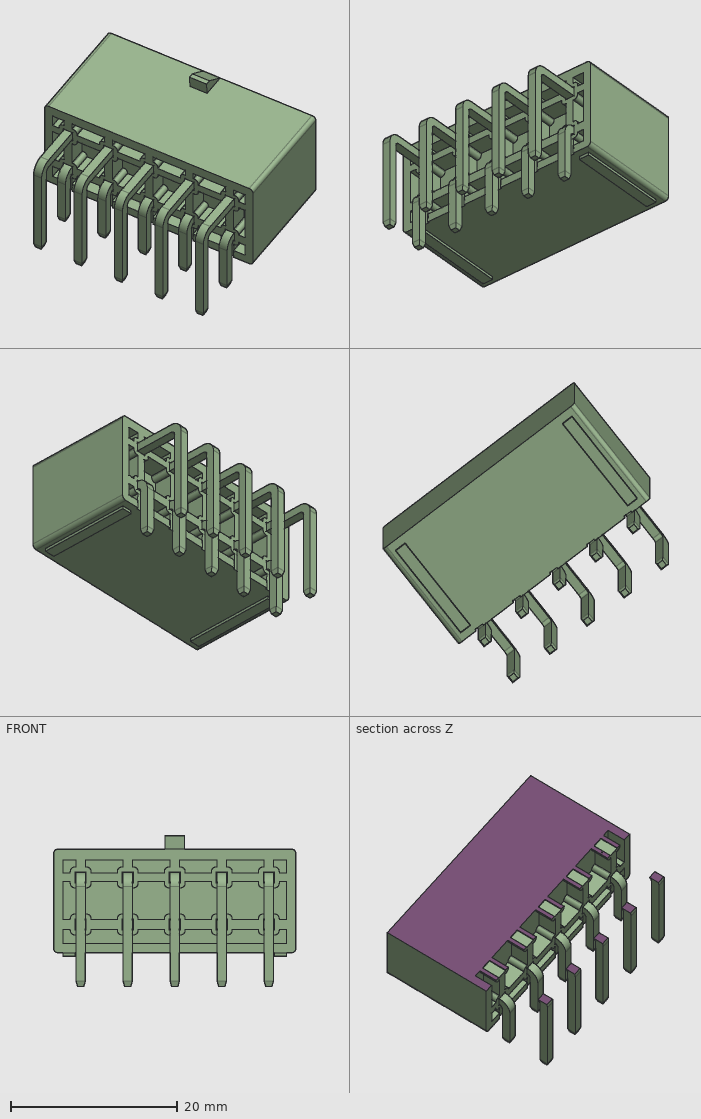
import cadquery as cq

total_height = 18.13
total_depth = 21.95

housing_width = 29.15
housing_depth = 14.8
housing_bottom = 4.05
housing_height = 12.48
housing_corner_radius = 0.55
housing_top = housing_bottom + housing_height

column_count = 5
pitch = 5.65
upper_row_height = housing_top - 3.4
lower_row_height = upper_row_height - pitch
column_positions = [(i - (column_count - 1) / 2) * pitch for i in range(column_count)]
row_heights = [upper_row_height, lower_row_height]

recess_depth = 2.42
recess_side_wall = 1.15
recess_top_wall = 1.35
recess_bottom_wall = 1.15
rib_thickness = 1.1
upper_rib_thickness = 1.02
lower_rib_thickness = 1.25
boss_size = 2.5
boss_corner_radius = 0.55
contact_hole_size = 1.35
relief_depth = 0.2

pin_size = 1.15
bend_outer_radius = 1.63
bend_inner_radius = bend_outer_radius - pin_size
upper_pin_reach = total_depth - housing_depth
lower_pin_reach = 1.55
tip_length = 0.65
tip_end_size = 0.75

ramp_width = 2.4
ramp_length = 3.25
ramp_base_length = 3.12
ramp_crest_length = 0.7
ramp_height = total_height - housing_top

rail_width = 1.45
rail_height = 0.4
rail_end_margin = 1.02


def block(x_min, x_max, y_min, y_max, z_min, z_max):
    """Box given by its limits along each axis."""
    corner = (x_min, y_min, z_min)
    return cq.Workplane("XY").box(x_max - x_min, y_max - y_min, z_max - z_min, centered=False).translate(corner)


def square_bar(size, x, z):
    """Square bar along Y, running from the front face to the floor of the recess."""
    half = size / 2
    return block(x - half, x + half, 0, recess_depth, z - half, z + half)


def make_recess():
    """Volume removed from the front: a shallow box less the ribs and bosses, plus the contact holes."""
    half_width = housing_width / 2 - recess_side_wall
    bottom = housing_bottom + recess_bottom_wall
    top = housing_top - recess_top_wall
    recess = block(-half_width, half_width, 0, recess_depth, bottom, top)
    for x in column_positions:
        recess = recess.cut(block(x - rib_thickness / 2, x + rib_thickness / 2, 0, recess_depth, bottom, top))
    for z, thickness in zip(row_heights, [upper_rib_thickness, lower_rib_thickness]):
        recess = recess.cut(
            block(-half_width, half_width, 0, recess_depth, z - thickness / 2, z + thickness / 2)
        )
    for x in column_positions:
        for z in row_heights:
            recess = recess.cut(square_bar(boss_size, x, z).edges("|Y").fillet(boss_corner_radius))
            recess = recess.union(square_bar(contact_hole_size, x, z))
    return recess


def make_pin_relief(x):
    """Slot below a lower boss, sloping from the front face at the boss to its full depth at the underside."""
    slope_top = lower_row_height - boss_size / 2
    return (
        cq.Workplane("YZ", origin=(x - rib_thickness / 2, 0, 0))
        .moveTo(0, slope_top)
        .lineTo(relief_depth, housing_bottom)
        .lineTo(0, housing_bottom)
        .close()
        .extrude(rib_thickness)
    )


def make_housing():
    """Rounded block, open to the front (-Y) with its front face at Y = 0."""
    half_width = housing_width / 2
    body = block(-half_width, half_width, 0, housing_depth, housing_bottom, housing_top)
    body = body.edges("|Y").fillet(housing_corner_radius).cut(make_recess())
    for x in column_positions:
        body = body.cut(make_pin_relief(x))
    return body


def make_locking_ramp():
    """Wedge rising from the rear edge to a crest that overhangs slightly at the front."""
    return (
        cq.Workplane("YZ", origin=(-ramp_width / 2, housing_depth, housing_top))
        .moveTo(0, 0)
        .lineTo(ramp_crest_length - ramp_length, ramp_height)
        .lineTo(-ramp_length, ramp_height)
        .lineTo(-ramp_base_length, 0)
        .close()
        .extrude(ramp_width)
    )


def make_rail(side):
    """Flat rail under the housing on one side (-1 or +1)."""
    outer = side * (housing_width / 2 - recess_side_wall)
    inner = outer - side * rail_width
    return block(
        min(outer, inner),
        max(outer, inner),
        rail_end_margin,
        housing_depth - rail_end_margin,
        housing_bottom - rail_height,
        housing_bottom,
    )


def make_pin(x, axis_height, reach):
    """Square pin from the recess floor, bent down to a tapered tip at Z = 0."""
    top = axis_height + pin_size / 2
    bottom = axis_height - pin_size / 2
    bend = (
        cq.Workplane("YZ", origin=(x - pin_size / 2, 0, 0))
        .moveTo(recess_depth, top)
        .lineTo(bend_outer_radius - reach, top)
        .radiusArc((-reach, top - bend_outer_radius), -bend_outer_radius)
        .lineTo(-reach, tip_length)
        .lineTo(pin_size - reach, tip_length)
        .lineTo(pin_size - reach, bottom - bend_inner_radius)
        .radiusArc((bend_outer_radius - reach, bottom), bend_inner_radius)
        .lineTo(recess_depth, bottom)
        .close()
        .extrude(pin_size)
    )
    tip = (
        cq.Workplane("XY", origin=(x, pin_size / 2 - reach, 0))
        .rect(tip_end_size, tip_end_size)
        .workplane(offset=tip_length)
        .rect(pin_size, pin_size)
        .loft()
    )
    return bend.union(tip)


result = make_housing().union(make_locking_ramp())
for rail_side in (-1, 1):
    result = result.union(make_rail(rail_side))
for column_x in column_positions:
    result = result.union(make_pin(column_x, upper_row_height, upper_pin_reach))
    result = result.union(make_pin(column_x, lower_row_height, lower_pin_reach))